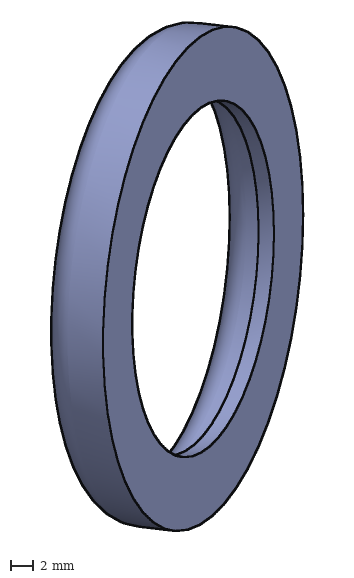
import cadquery as cq

outer_diameter = 46.0
rim_inner_diameter = 36.0
lip_inner_diameter = 32.5
ring_width = 6.0
lip_thickness = 1.5

outer_radius = outer_diameter / 2
rim_inner_radius = rim_inner_diameter / 2
lip_inner_radius = lip_inner_diameter / 2

nose_radius = (outer_radius - rim_inner_radius) / 2
nose_center_radius = rim_inner_radius + nose_radius
lip_front = ring_width - lip_thickness

section = (
    cq.Workplane("XY")
    .moveTo(nose_radius, outer_radius)
    .lineTo(ring_width, outer_radius)
    .lineTo(ring_width, lip_inner_radius)
    .lineTo(lip_front, lip_inner_radius)
    .lineTo(lip_front, rim_inner_radius)
    .lineTo(nose_radius, rim_inner_radius)
    .threePointArc((0, nose_center_radius), (nose_radius, outer_radius))
    .close()
)

result = section.revolve(360, (0, 0, 0), (1, 0, 0))